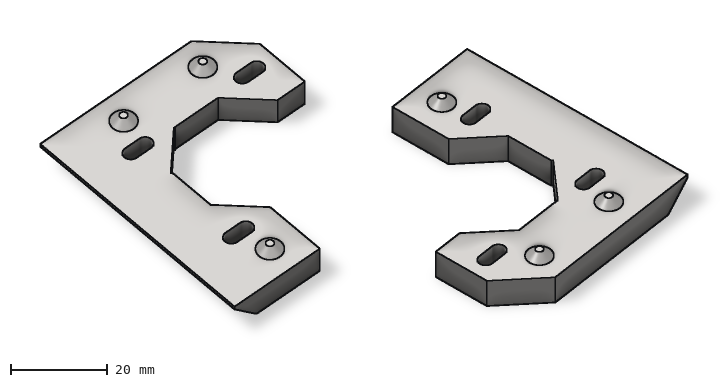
import cadquery as cq
import math

WIDTH = 59.9
DEPTH = 52.0
THICKNESS = 7.0
CORNER_CHAMFER = 10.0
LIP = 0.9

CENTER_X = 29.9
CENTER_Y = 29.7
OPENING_REACH = 14.7
OPENING_HALF_WIDTH = 6.0
RELIEF_REACH = 14.85
RELIEF_REAR_SIDE = 6.0
RELIEF_FRONT_SIDE = 6.4

SLOT_SPACING = 31.0
SLOT_WIDTH = 3.5
SLOT_LENGTH = 7.5
CONE_BASE_RADIUS = 3.0
CONE_TOP_RADIUS = 0.9
CONE_HEIGHT = 1.8
CONE_INSET_X = 6.85
CONE_CENTERS = [(CONE_INSET_X, 17.0), (CONE_INSET_X, 39.0), (WIDTH - CONE_INSET_X, 16.0)]

WALL_LEFT = CENTER_X - OPENING_REACH
WALL_FRONT = CENTER_Y - OPENING_REACH
REAR_ARM_END = CENTER_X - OPENING_HALF_WIDTH
RIGHT_ARM_REAR = CENTER_Y - OPENING_HALF_WIDTH
HALF_SPACING = SLOT_SPACING / 2
SLOT_CENTERS = [
    (CENTER_X - HALF_SPACING, CENTER_Y - HALF_SPACING),
    (CENTER_X + HALF_SPACING, CENTER_Y - HALF_SPACING),
    (CENTER_X - HALF_SPACING, CENTER_Y + HALF_SPACING),
]


def make_plate():
    """L-shaped plate whose inside corner is still a square block."""
    outline = [
        (0, 0),
        (WIDTH, 0),
        (WIDTH, RIGHT_ARM_REAR),
        (CENTER_X + OPENING_REACH, RIGHT_ARM_REAR),
        (CENTER_X + OPENING_HALF_WIDTH, WALL_FRONT),
        (REAR_ARM_END, WALL_FRONT),
        (REAR_ARM_END, RIGHT_ARM_REAR),
        (WALL_LEFT, RIGHT_ARM_REAR),
        (WALL_LEFT, CENTER_Y + OPENING_HALF_WIDTH),
        (REAR_ARM_END, CENTER_Y + OPENING_REACH),
        (REAR_ARM_END, DEPTH),
        (CORNER_CHAMFER, DEPTH),
        (0, DEPTH - CORNER_CHAMFER),
    ]
    return cq.Workplane("XY").polyline(outline).close().extrude(THICKNESS)


def make_corner_relief():
    """Block at 45 degrees that cuts the slanted wall across the inside corner."""
    def place(outward, sideways):
        """Point at a distance toward the front left and toward the front right."""
        step = math.sqrt(0.5)
        return (CENTER_X + step * (sideways - outward), CENTER_Y - step * (sideways + outward))

    outline = [
        place(0, -RELIEF_REAR_SIDE),
        place(RELIEF_REACH, -RELIEF_REAR_SIDE),
        place(RELIEF_REACH, RELIEF_FRONT_SIDE),
        place(0, RELIEF_FRONT_SIDE),
    ]
    return cq.Workplane("XY").polyline(outline).close().extrude(THICKNESS)


def make_front_bevel():
    """Wedge under the front edge, sloping at 45 degrees below the lip."""
    rise = THICKNESS - LIP
    return cq.Workplane("YZ").polyline([(0, 0), (rise, 0), (0, rise)]).close().extrude(WIDTH)


def make_slots():
    """Through slots, long along Y."""
    return (
        cq.Workplane("XY")
        .pushPoints(SLOT_CENTERS)
        .slot2D(SLOT_LENGTH, SLOT_WIDTH, angle=90)
        .extrude(THICKNESS)
    )


def make_cone(center):
    """Truncated cone standing on the top face."""
    base = cq.Vector(*center, THICKNESS)
    return cq.Solid.makeCone(CONE_BASE_RADIUS, CONE_TOP_RADIUS, CONE_HEIGHT, base)


result = make_plate().cut(make_corner_relief()).cut(make_front_bevel()).cut(make_slots())
for cone_center in CONE_CENTERS:
    result = result.union(make_cone(cone_center))